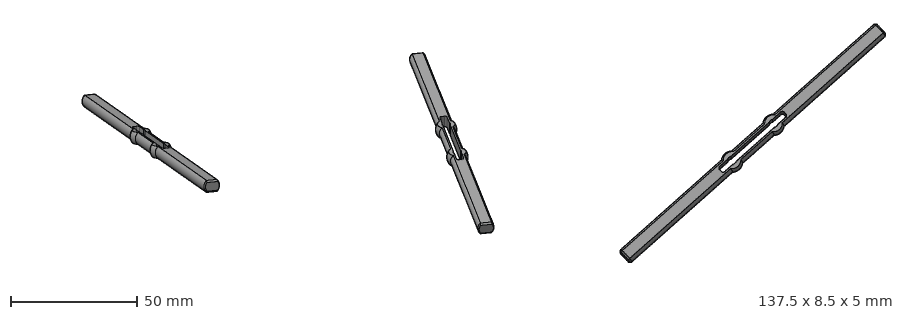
import cadquery as cq

LENGTH = 137.5
THICKNESS = 5.0
ROD_DIAMETER = 6.6

END_CHAMFER_LENGTH = 0.7
FLAT_CHAMFER_DEPTH = 0.7
ROUND_CHAMFER_DEPTH = 0.4

BALL_DIAMETER = 8.5
BALL_SPACING = 22.3
BALL_CENTERS = [(-BALL_SPACING / 2, 0), (BALL_SPACING / 2, 0)]

SLOT_LENGTH = 34.6
SLOT_WIDTH = 2.9
SLOT_CORNER_RADIUS = 0.8
RELIEF_DIAMETER = 3.3


def chamfered_rod():
    """Round rod along X, tapered slightly at both ends."""
    radius = ROD_DIAMETER / 2
    end_radius = radius - ROUND_CHAMFER_DEPTH
    half_length = LENGTH / 2
    shoulder = half_length - END_CHAMFER_LENGTH
    half_section = (
        cq.Workplane("XY")
        .moveTo(-half_length, 0)
        .lineTo(-half_length, end_radius)
        .lineTo(-shoulder, radius)
        .lineTo(shoulder, radius)
        .lineTo(half_length, end_radius)
        .lineTo(half_length, 0)
        .close()
    )
    return half_section.revolve(360, (0, 0, 0), (1, 0, 0))


def balls():
    """Two balls centred on the rod axis."""
    return cq.Workplane("XY").pushPoints(BALL_CENTERS).sphere(BALL_DIAMETER / 2)


def flat_slab():
    """Slab that gives the top and bottom flats and their end chamfers."""
    slab = cq.Workplane("XY").box(LENGTH, BALL_DIAMETER, THICKNESS)
    end_edges = slab.faces("<X or >X").edges("|Y")
    return end_edges.chamfer(FLAT_CHAMFER_DEPTH, END_CHAMFER_LENGTH)


def slot():
    """Slot with rounded corners and a round relief at each ball."""
    opening = cq.Workplane("XY").box(SLOT_LENGTH, SLOT_WIDTH, THICKNESS)
    opening = opening.edges("|Z").fillet(SLOT_CORNER_RADIUS)
    reliefs = (
        cq.Workplane("XY")
        .pushPoints(BALL_CENTERS)
        .circle(RELIEF_DIAMETER / 2)
        .extrude(THICKNESS / 2, both=True)
    )
    return opening.union(reliefs)


result = chamfered_rod().union(balls()).intersect(flat_slab()).cut(slot())